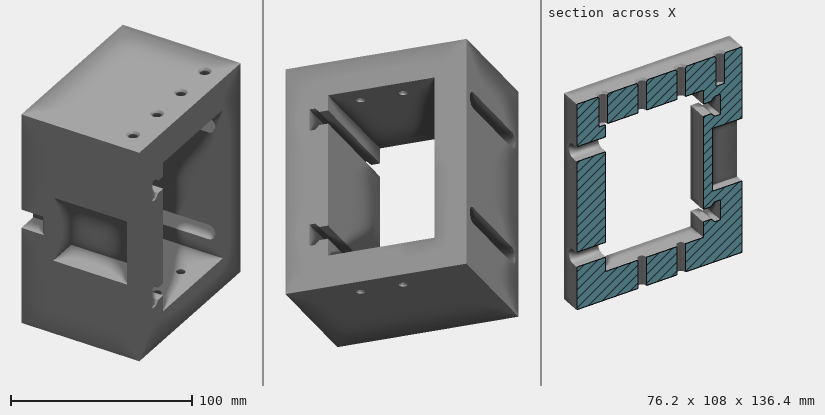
import cadquery as cq
import math

WIDTH = 76.2
DEPTH = 107.95
HEIGHT = 136.4
FRONT_Y = -DEPTH / 2
TOP_Z = HEIGHT / 2

FRONT_WALL = 25.4
BACK_WALL = 19.05
BOTTOM_WALL = 19.05
WINDOW_HEIGHT = 97.2
WINDOW_FRONT_Y = FRONT_Y + FRONT_WALL
WINDOW_BACK_Y = DEPTH / 2 - BACK_WALL
WINDOW_BOTTOM_Z = -TOP_Z + BOTTOM_WALL
TOP_WALL = HEIGHT - BOTTOM_WALL - WINDOW_HEIGHT

SLOT_PITCH = 69.85
SLOT_HEIGHTS = (-SLOT_PITCH / 2, SLOT_PITCH / 2)

T_DEPTH = 11.1125
T_STEM_WIDTH = 7.9375
T_HEAD_WIDTH = 12.9
T_HEAD_DEPTH = 3.4
T_SHOULDER = (T_HEAD_WIDTH - T_STEM_WIDTH) / 2

BACK_SLOT_WIDTH = 9.525
BACK_SLOT_END_MARGIN = 4.7625
BACK_SLOT_LENGTH = WIDTH - 2 * BACK_SLOT_END_MARGIN

POCKET_WIDTH = 47.625
POCKET_HEIGHT = 41.275
POCKET_DEPTH = 19.05
POCKET_RIGHT_MARGIN = 7.9375
POCKET_CENTER_X = WIDTH - POCKET_RIGHT_MARGIN - POCKET_WIDTH / 2

NOTCH_WIDTH = 12.7
NOTCH_DEPTH = 12.7
NOTCH_HEIGHT = 11.9
NOTCH_ROUND = 3.175

HOLE_DIAMETER = 5.12
COUNTERSINK_DIAMETER = 7.6
COUNTERSINK_ANGLE = 90
COUNTERSINK_STEP = (COUNTERSINK_DIAMETER - HOLE_DIAMETER) / 2
COUNTERSINK_DEPTH = COUNTERSINK_STEP / math.tan(math.radians(COUNTERSINK_ANGLE / 2))
HOLE_PITCH = 25.4
HOLE_COUNT = 4
HOLE_RIGHT_MARGIN = 12.7
HOLE_X = WIDTH - HOLE_RIGHT_MARGIN
FIRST_HOLE_FRONT_MARGIN = 14.2875
OUTER_HOLE_DEPTH = TOP_WALL


def box_between(x_range, y_range, z_range):
    """Axis-aligned box spanning the given (low, high) ranges."""
    size = [high - low for low, high in (x_range, y_range, z_range)]
    corner = (x_range[0], y_range[0], z_range[0])
    return cq.Workplane("XY").box(*size, centered=False).translate(corner)


def window():
    z_range = (WINDOW_BOTTOM_Z, WINDOW_BOTTOM_Z + WINDOW_HEIGHT)
    return box_between((0, WIDTH), (WINDOW_FRONT_Y, WINDOW_BACK_Y), z_range)


def t_slot(center_z):
    """T-slot profile in the YZ plane, cut along the full width."""
    bottom_y = WINDOW_FRONT_Y - T_DEPTH
    head_y = bottom_y + T_HEAD_DEPTH
    stem_y = head_y + T_SHOULDER
    half_stem = T_STEM_WIDTH / 2
    half_head = T_HEAD_WIDTH / 2
    profile = [
        (WINDOW_FRONT_Y, half_stem),
        (stem_y, half_stem),
        (head_y, half_head),
        (bottom_y, half_head),
        (bottom_y, -half_head),
        (head_y, -half_head),
        (stem_y, -half_stem),
        (WINDOW_FRONT_Y, -half_stem),
    ]
    return cq.Workplane("YZ").polyline(profile).close().extrude(WIDTH).translate((0, 0, center_z))


def back_slot(center_z):
    """Round-ended slot through the back wall."""
    slot = cq.Workplane("XZ").slot2D(BACK_SLOT_LENGTH, BACK_SLOT_WIDTH).extrude(-BACK_WALL)
    return slot.translate((WIDTH / 2, WINDOW_BACK_Y, center_z))


def front_pocket():
    pocket = cq.Workplane("XZ").rect(POCKET_WIDTH, POCKET_HEIGHT).extrude(-POCKET_DEPTH)
    return pocket.translate((POCKET_CENTER_X, FRONT_Y, 0))


def edge_notch():
    """Notch outline in the XY plane; the arc rounds the block edge left beside it."""
    back_y = FRONT_Y + NOTCH_DEPTH
    outline = (
        cq.Workplane("XY")
        .workplane(offset=-NOTCH_HEIGHT / 2)
        .moveTo(0, FRONT_Y)
        .lineTo(0, back_y)
        .lineTo(NOTCH_WIDTH, back_y)
        .lineTo(NOTCH_WIDTH, FRONT_Y + NOTCH_ROUND)
        .radiusArc((NOTCH_WIDTH + NOTCH_ROUND, FRONT_Y), -NOTCH_ROUND)
        .close()
    )
    return outline.extrude(NOTCH_HEIGHT)


def countersunk_hole(y, depth):
    """Flat-bottomed drill with its countersink cone, sunk into the top face."""
    drill = cq.Workplane("XY").circle(HOLE_DIAMETER / 2).extrude(-depth)
    rim = cq.Workplane("XY").circle(COUNTERSINK_DIAMETER / 2)
    cone = rim.extrude(-COUNTERSINK_DEPTH, taper=COUNTERSINK_ANGLE / 2)
    return drill.union(cone).translate((HOLE_X, y, TOP_Z))


def drill_top_holes(body):
    """Inner holes pass through both walls of the window; the outer ones are blind."""
    last = HOLE_COUNT - 1
    for index in range(HOLE_COUNT):
        y = FRONT_Y + FIRST_HOLE_FRONT_MARGIN + index * HOLE_PITCH
        depth = OUTER_HOLE_DEPTH if index in (0, last) else HEIGHT
        body = body.cut(countersunk_hole(y, depth))
    return body


body = box_between((0, WIDTH), (FRONT_Y, DEPTH / 2), (-TOP_Z, TOP_Z))
body = body.cut(window()).cut(front_pocket()).cut(edge_notch())
for slot_z in SLOT_HEIGHTS:
    body = body.cut(t_slot(slot_z)).cut(back_slot(slot_z))
result = drill_top_holes(body)